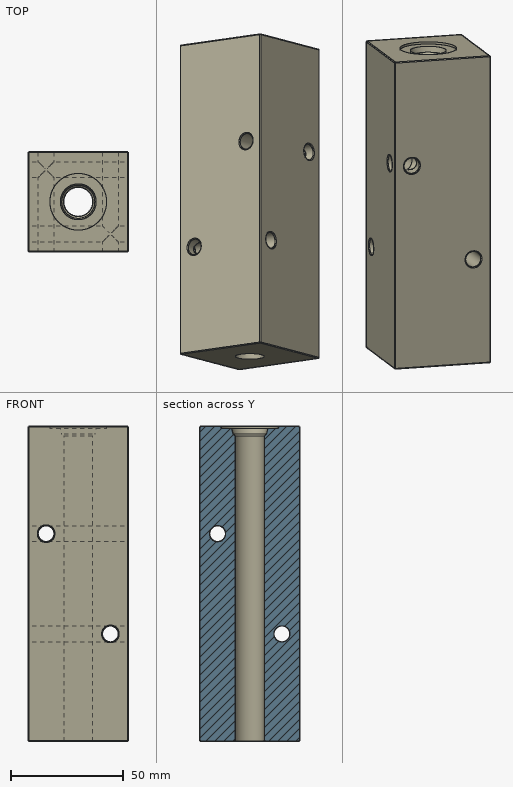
import cadquery as cq

height = 139.7
width = 44.4
edge_chamfer = 0.4

spotface_diameter = 25.1
spotface_depth = 1.0
seat_mouth_diameter = 15.9
seat_end_diameter = 14.7
seat_depth = 2.5
throat_depth = 0.8
bore_diameter = 12.9

cross_hole_diameter = 7.0
cross_hole_mouth_diameter = 7.8
cross_hole_side_offset = 14.2
cross_hole_height_offset = width / 2


def make_block():
    """Square bar standing on Z = 0 with all outer edges broken."""
    bar = cq.Workplane("XY").box(width, width, height, centered=(True, True, False))
    return bar.edges().chamfer(edge_chamfer)


def make_port():
    """Stepped port at the top, running into a plain bore through the bar."""
    spotface_floor = height - spotface_depth
    seat_end = spotface_floor - seat_depth
    throat_end = seat_end - throat_depth
    return (
        cq.Workplane("XZ")
        .moveTo(0, 0)
        .lineTo(bore_diameter / 2, 0)
        .lineTo(bore_diameter / 2, throat_end)
        .lineTo(seat_end_diameter / 2, seat_end)
        .lineTo(seat_mouth_diameter / 2, spotface_floor)
        .lineTo(spotface_diameter / 2, spotface_floor)
        .lineTo(spotface_diameter / 2, height)
        .lineTo(0, height)
        .close()
        .revolve(360, (0, 0, 0), (0, 1, 0))
    )


def make_cross_hole(side_offset, hole_height):
    """Hole along Y, countersunk at 90 degrees where it meets both faces."""
    bore_radius = cross_hole_diameter / 2
    mouth_radius = cross_hole_mouth_diameter / 2
    half_width = width / 2
    countersink_start = half_width - (mouth_radius - bore_radius)
    return (
        cq.Workplane("XY", origin=(side_offset, 0, hole_height))
        .moveTo(0, -half_width)
        .lineTo(mouth_radius, -half_width)
        .lineTo(bore_radius, -countersink_start)
        .lineTo(bore_radius, countersink_start)
        .lineTo(mouth_radius, half_width)
        .lineTo(0, half_width)
        .close()
        .revolve(360, (0, 0, 0), (0, 1, 0))
    )


result = make_block().cut(make_port())

for side in (-1, 1):
    hole = make_cross_hole(
        side * cross_hole_side_offset,
        height / 2 - side * cross_hole_height_offset,
    )
    hole_along_x = hole.rotate((0, 0, 0), (0, 0, 1), -90)
    result = result.cut(hole).cut(hole_along_x)